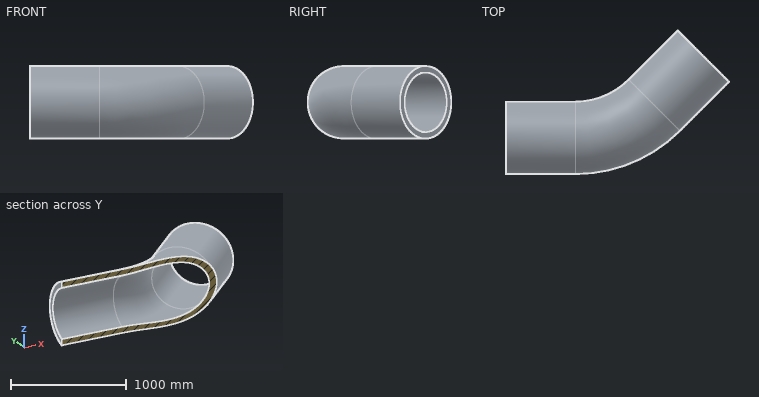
import cadquery as cq
import math

overall_length = 1930.0
outer_diameter = 630.0
bore_diameter = 515.0
straight_length = 600.0
bend_angle = 45.0

outer_radius = outer_diameter / 2
angle = math.radians(bend_angle)
outlet_reach = straight_length * math.cos(angle) + outer_radius * math.sin(angle)
bend_radius = (overall_length - straight_length - outlet_reach) / math.sin(angle)


def pipe_ring(plane):
    """Annular pipe section on the given plane."""
    return cq.Workplane(plane).circle(outer_diameter / 2).circle(bore_diameter / 2)


inlet = pipe_ring("YZ").extrude(straight_length)

bend_start = cq.Plane(origin=(straight_length, 0, 0), xDir=(0, 1, 0), normal=(1, 0, 0))
bend = pipe_ring(bend_start).revolve(bend_angle, (bend_radius, 0), (bend_radius, 1))

outlet_start = cq.Plane(
    origin=(
        straight_length + bend_radius * math.sin(angle),
        bend_radius * (1 - math.cos(angle)),
        0,
    ),
    xDir=(-math.sin(angle), math.cos(angle), 0),
    normal=(math.cos(angle), math.sin(angle), 0),
)
outlet = pipe_ring(outlet_start).extrude(straight_length)

result = inlet.union(bend).union(outlet)